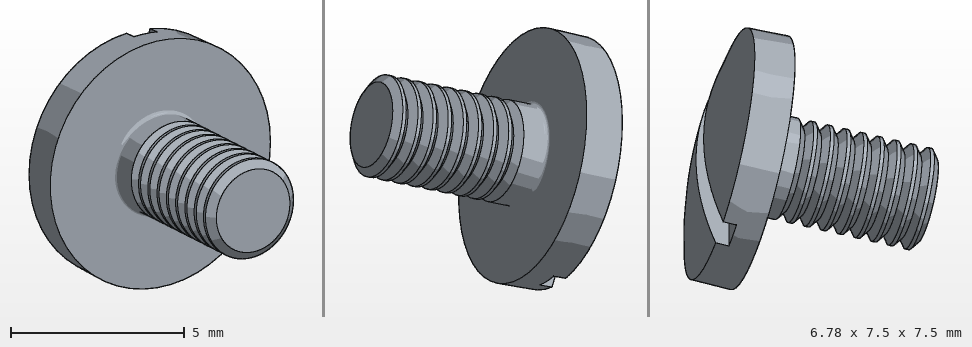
import cadquery as cq


head_radius = 3.75
head_front_radius = 3.72
rim_length = 1.2
dome_height = 0.59
head_length = rim_length + dome_height

slot_width = 0.795
slot_depth = 0.99

shank_length = 5.0
shank_radius = 1.5
neck_fillet = 0.11
thread_root_radius = 1.25
thread_count = 8
thread_pitch = shank_length / 10
crest_width = 0.11
flank_length = (thread_pitch - crest_width) / 2
thread_start = shank_length - thread_count * thread_pitch


def make_head():
    """Domed disc with a slightly tapered rim."""
    dome_radius = (head_front_radius**2 + dome_height**2) / (2 * dome_height)
    mid_radius = head_front_radius / 2
    dome_centre = dome_radius - head_length
    mid_x = dome_centre - (dome_radius**2 - mid_radius**2) ** 0.5
    profile = (
        cq.Workplane("XY")
        .lineTo(0, head_radius)
        .lineTo(-rim_length, head_front_radius)
        .threePointArc((mid_x, mid_radius), (-head_length, 0))
        .close()
    )
    return profile.revolve(360, (0, 0, 0), (1, 0, 0))


def make_shank():
    """Filleted neck followed by a row of annular thread ridges."""
    fillet_mid = neck_fillet * (1 - 0.5**0.5)
    profile = (
        cq.Workplane("XY")
        .moveTo(-rim_length / 2, 0)
        .lineTo(-rim_length / 2, shank_radius + neck_fillet)
        .lineTo(0, shank_radius + neck_fillet)
        .threePointArc((fillet_mid, shank_radius + fillet_mid), (neck_fillet, shank_radius))
        .lineTo(thread_start - flank_length, shank_radius)
        .lineTo(thread_start, thread_root_radius)
    )
    for ridge in range(thread_count):
        root_x = thread_start + ridge * thread_pitch
        crest_x = root_x + flank_length
        profile = (
            profile.lineTo(crest_x, shank_radius)
            .lineTo(crest_x + crest_width, shank_radius)
            .lineTo(root_x + thread_pitch, thread_root_radius)
        )
    return profile.lineTo(shank_length, 0).close().revolve(360, (0, 0, 0), (1, 0, 0))


def make_slot():
    """Straight slot across the full head, parallel to Z."""
    return (
        cq.Workplane("XY")
        .box(slot_depth, slot_width, 2 * head_radius, centered=(False, True, True))
        .translate((-head_length, 0, 0))
    )


result = make_head().union(make_shank()).cut(make_slot())